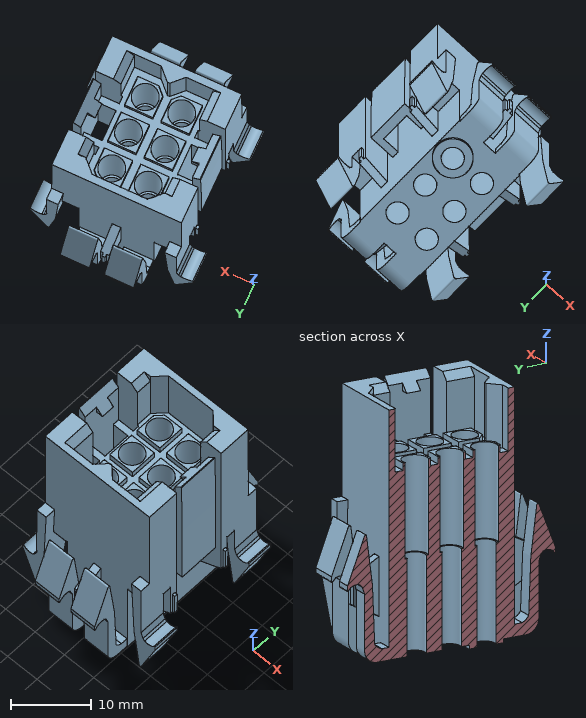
import cadquery as cq

TOP = 33.5
BODY_BOTTOM = 0.5
CORE_TOP = 25.2
SHELF = 13.47
ARM_TOP = 18.55

BODY_X = 8.895
BODY_Y = 9.0
CORE_X = 5.15
WALL = 0.97

CAVITY_X = 5.4
CAVITY_Y = BODY_Y - WALL
MOUTH_CHAMFER = 1.05
CORNER_CUT = 1.6
KEY_TIP = 0.17
KEY_HEIGHT = 1.55

PITCH = 5.0
COLUMNS = (-PITCH / 2, PITCH / 2)
ROWS = (-PITCH, 0, PITCH)
POST_X = 3.9
POST_Y = 4.0
POST_HEIGHT = 0.97
POST_CORNER = 0.97
BORE = 2.88
COUNTERBORE = 3.45
MARKER_RADIUS = 2.55

OPENING_Y = 4.05
FLAP_Y = 3.05
FLAP_INNER = 7.65
FLAP_TOP_INNER = 8.68
FLAP_TOP_OUTER = 8.78
FLAP_BEND = 23.55
WEB = 0.97
NUB_Y = 1.0
NUB_INNER = 6.6

RIB_Y = 5.15
RIB_SLOPE = 0.54
RIB_FOOT = 5.55
BUMP_WIDTH = 0.47
BUMP_HEIGHT = 0.4
BUMP_TOP = 11.5
FIN_WIDTH = 1.2
END_FACE_Y = 12.5

BARB_OUT = 2.4
BARB_FLAT = 0.17
RELIEF_START = (0, 0)
RELIEF_BEND = (0.35, 0.97)
RELIEF_FOOT = (0.62, 1.255)
RELIEF_DEEPEST = (1.1, 1.37)
BARB_TOP = 0.75
BARB_CORNER = 1.47
TIP_OUTER = (0.017, 7.6)
TIP = (-0.17, 7.75)
TIP_INNER = (-0.352, 7.6)
KNEE = (-1.2, 0.9)
ARM_TAPER = 0.04

SIDE_LATCH_INNER = 6.5
SIDE_LATCH_OUTER = 10.55
SIDE_LATCH_START = 9.25
END_LATCH_START = 9.85
END_LATCH_X = (1.0, 5.05)
BEND_RADIUS = 1.88
BEND_FLOOR = 2.25
BEND_INNER_RADIUS = 1.68
BEND_INNER_WIDTH = 0.95
BEND_INNER_RISE = 0.8


def block(x0, x1, y0, y1, z0, z1):
    size = (x1 - x0, y1 - y0, z1 - z0)
    return cq.Workplane("XY").box(*size, centered=False).translate((x0, y0, z0))


def prism_along_y(points, y0, y1):
    """Extrude an X-Z outline between two Y positions."""
    return cq.Workplane("XZ", origin=(0, y0, 0)).polyline(points).close().extrude(y0 - y1)


def prism_along_x(points, x0, x1):
    """Extrude a Y-Z outline between two X positions."""
    return cq.Workplane("YZ", origin=(x0, 0, 0)).polyline(points).close().extrude(x1 - x0)


def both_sides(solid, plane):
    """Join a solid with its mirror image."""
    return solid.union(solid.mirror(plane))


def cavity():
    """Mating cavity, with two cut corners at +Y and a V key at -Y."""
    key_base = KEY_TIP + KEY_HEIGHT
    outline = [
        (-CAVITY_X, -CAVITY_Y),
        (-key_base, -CAVITY_Y),
        (-KEY_TIP, KEY_HEIGHT - CAVITY_Y),
        (KEY_TIP, KEY_HEIGHT - CAVITY_Y),
        (key_base, -CAVITY_Y),
        (CAVITY_X, -CAVITY_Y),
        (CAVITY_X, CAVITY_Y - CORNER_CUT),
        (CAVITY_X - CORNER_CUT, CAVITY_Y),
        (CORNER_CUT - CAVITY_X, CAVITY_Y),
        (-CAVITY_X, CAVITY_Y - CORNER_CUT),
    ]
    space = cq.Workplane("XY", origin=(0, 0, CORE_TOP)).polyline(outline).close().extrude(TOP - CORE_TOP)
    mouth = [
        (CAVITY_X, TOP - MOUTH_CHAMFER),
        (CAVITY_X + MOUTH_CHAMFER, TOP),
        (CAVITY_X, TOP),
    ]
    chamfer = prism_along_y(mouth, -CAVITY_Y, CAVITY_Y - CORNER_CUT)
    return space.union(both_sides(chamfer, "YZ"))


def housing():
    body = block(-BODY_X, BODY_X, -BODY_Y, BODY_Y, BODY_BOTTOM, TOP).cut(cavity())
    opening = block(CORE_X, BODY_X, -OPENING_Y, OPENING_Y, BODY_BOTTOM, TOP)
    latch_space = both_sides(block(CORE_X, BODY_X, RIB_Y, BODY_Y, BODY_BOTTOM, SHELF), "XZ")
    rib_rise = RIB_SLOPE * (BODY_X - CORE_X)
    rib_underside = [
        (CORE_X, BODY_BOTTOM),
        (BODY_X, BODY_BOTTOM),
        (BODY_X, RIB_FOOT + rib_rise),
        (CORE_X, RIB_FOOT),
    ]
    underside = prism_along_y(rib_underside, -RIB_Y, RIB_Y)
    return body.cut(both_sides(opening.union(latch_space).union(underside), "YZ"))


def contact_post(x, y):
    post = cq.Workplane("XY", origin=(x, y, CORE_TOP)).rect(POST_X, POST_Y).extrude(POST_HEIGHT)
    x_side = ">X" if x > 0 else "<X"
    if y > 0:
        return post.edges("|Z").edges(">Y").edges(x_side).chamfer(POST_CORNER)
    if y < 0:
        inner_side = "<X" if x > 0 else ">X"
        return post.edges("|Z").edges("<Y").edges(inner_side).chamfer(POST_CORNER)
    return post


def contact_bore(x, y):
    bore = cq.Workplane("XY", origin=(x, y, 0)).circle(BORE / 2).extrude(TOP)
    return bore.union(cq.Workplane("XY", origin=(x, y, SHELF)).circle(COUNTERBORE / 2).extrude(TOP - SHELF))


def flap():
    """Free-standing flap on the +X side, carried by two webs, with a nub at its top."""
    inner_drop = FLAP_TOP_INNER - FLAP_INNER
    outline = [
        (FLAP_INNER, SHELF),
        (BODY_X, SHELF),
        (BODY_X, FLAP_BEND),
        (FLAP_TOP_OUTER, TOP),
        (FLAP_TOP_INNER, TOP),
        (FLAP_INNER, TOP - inner_drop),
    ]
    panel = prism_along_y(outline, -FLAP_Y, FLAP_Y)
    nub_drop = FLAP_TOP_INNER - NUB_INNER
    nub_outline = [
        (FLAP_INNER, TOP - inner_drop),
        (NUB_INNER, TOP - nub_drop),
        (FLAP_INNER, TOP - nub_drop),
    ]
    nub = prism_along_y(nub_outline, -NUB_Y, NUB_Y)
    web = block(CORE_X, FLAP_INNER, FLAP_Y - WEB, FLAP_Y, SHELF, CORE_TOP)
    return panel.union(nub).union(both_sides(web, "XZ"))


def side_bump():
    """Narrow bump on the outer edge of the rib at +X, +Y."""
    middle = (OPENING_Y + RIB_Y) / 2
    foot = RIB_FOOT + RIB_SLOPE * (BODY_X - CORE_X)
    outline = [
        (BODY_X, foot),
        (BODY_X + BUMP_HEIGHT, foot + RIB_SLOPE * BUMP_HEIGHT),
        (BODY_X + BUMP_HEIGHT, BUMP_TOP),
        (BODY_X, BUMP_TOP),
    ]
    return prism_along_y(outline, middle - BUMP_WIDTH / 2, middle + BUMP_WIDTH / 2)


def end_fin():
    """Tapered fin on the +Y side with a narrow bump along its edge."""
    def fin(reach, width):
        rise = RIB_SLOPE * (reach - BODY_Y)
        outline = [
            (BODY_Y, RIB_FOOT),
            (reach, RIB_FOOT + rise),
            (reach, SHELF - rise),
            (BODY_Y, SHELF),
        ]
        return prism_along_x(outline, -width / 2, width / 2)

    return fin(END_FACE_Y, FIN_WIDTH).union(fin(END_FACE_Y + BUMP_HEIGHT, BUMP_WIDTH))


def add_hook(sketch, face, start, direction):
    """Draw the hook from the arm's outer face, around the tip, to the knee on the inner face."""
    def at(point):
        return (face + point[0], start + direction * point[1])

    return (
        sketch.lineTo(*at(RELIEF_START))
        .lineTo(*at(RELIEF_BEND))
        .lineTo(*at(RELIEF_FOOT))
        .threePointArc(at(RELIEF_DEEPEST), at((BARB_OUT - BARB_FLAT, BARB_TOP)))
        .lineTo(*at((BARB_OUT, BARB_TOP)))
        .lineTo(*at((BARB_OUT, BARB_CORNER)))
        .lineTo(*at(TIP_OUTER))
        .threePointArc(at(TIP), at(TIP_INNER))
        .lineTo(*at(KNEE))
    )


def side_latch():
    """Latch at +X, +Y that hangs down from the housing wall."""
    knee_x = BODY_X + KNEE[0]
    knee_z = SIDE_LATCH_START - KNEE[1]
    sketch = cq.Workplane("XZ", origin=(0, SIDE_LATCH_INNER, 0)).moveTo(BODY_X, ARM_TOP)
    sketch = add_hook(sketch, BODY_X, SIDE_LATCH_START, -1)
    sketch = sketch.lineTo(knee_x - ARM_TAPER * (ARM_TOP - knee_z), ARM_TOP).close()
    return sketch.extrude(SIDE_LATCH_INNER - SIDE_LATCH_OUTER)


def end_latch():
    """Latch at +X, +Y that turns up from the bottom of the core."""
    knee_y = END_FACE_Y + KNEE[0]
    knee_z = END_LATCH_START + KNEE[1]
    bend_top = BEND_FLOOR + BEND_INNER_RISE
    foot_y = knee_y - ARM_TAPER * (knee_z - bend_top)
    sketch = (
        cq.Workplane("YZ", origin=(END_LATCH_X[0], 0, 0))
        .moveTo(BODY_Y, BODY_BOTTOM)
        .lineTo(END_FACE_Y - BEND_RADIUS, BODY_BOTTOM)
        .radiusArc((END_FACE_Y, BODY_BOTTOM + BEND_RADIUS), -BEND_RADIUS)
    )
    sketch = add_hook(sketch, END_FACE_Y, END_LATCH_START, 1)
    sketch = (
        sketch.lineTo(foot_y, bend_top)
        .radiusArc((foot_y - BEND_INNER_WIDTH, BEND_FLOOR), BEND_INNER_RADIUS)
        .lineTo(BODY_Y, BEND_FLOOR)
        .close()
    )
    return sketch.extrude(END_LATCH_X[1] - END_LATCH_X[0])


result = housing()
result = result.union(both_sides(flap(), "YZ"))
result = result.union(both_sides(end_fin(), "XZ"))
for corner_feature in (side_bump(), side_latch(), end_latch()):
    result = result.union(both_sides(both_sides(corner_feature, "YZ"), "XZ"))

marker = cq.Workplane("XY").center(COLUMNS[0], ROWS[0]).circle(MARKER_RADIUS).extrude(BODY_BOTTOM)
result = result.union(marker)

for column in COLUMNS:
    for row in ROWS:
        result = result.union(contact_post(column, row)).cut(contact_bore(column, row))